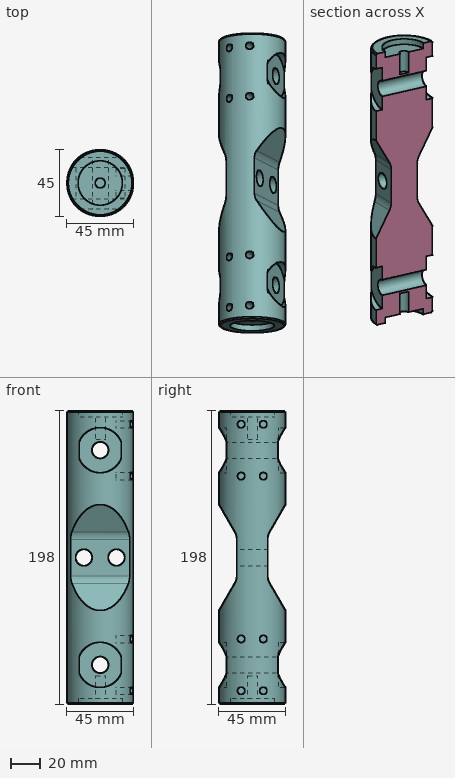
import cadquery as cq
import math

bar_diameter = 45.0
bar_length = 198.0
end_chamfer = 1.0
bar_radius = bar_diameter / 2
half_length = bar_length / 2

waist_thickness = 21.0
waist_corner_height = 15.0
waist_slope = 30.0
waist_blend_radius = 10.0

bolt_hole_diameter = 11.0
waist_hole_spacing = 22.0
end_hole_spacing = 145.0

spot_face_diameter = 30.5
spot_face_distance = 35.0

side_hole_diameter = 4.92
side_hole_spacing_y = 15.0
side_hole_spacing_z = 35.0
side_hole_depth = 12.0

recess_diameter = 30.0
recess_depth = 4.0
end_hole_diameter = 6.65
end_hole_depth = 15.0

end_hole_heights = (-end_hole_spacing / 2, end_hole_spacing / 2)
waist_hole_offsets = (-waist_hole_spacing / 2, waist_hole_spacing / 2)


def make_bar():
    bar = cq.Workplane("XY").circle(bar_radius).extrude(bar_length)
    return bar.translate((0, 0, -half_length)).faces("|Z").edges().chamfer(end_chamfer)


def waist_cutter(side):
    """Trapezoidal prism across the bar, with its inner corners rounded."""
    inner = waist_thickness / 2
    outer = bar_diameter
    outer_height = waist_corner_height + (outer - inner) / math.tan(math.radians(waist_slope))
    profile = [
        (side * inner, -waist_corner_height),
        (side * inner, waist_corner_height),
        (side * outer, outer_height),
        (side * outer, -outer_height),
    ]
    prism = cq.Workplane("YZ").polyline(profile).close().extrude(bar_radius, both=True)
    inner_face = "<Y" if side > 0 else ">Y"
    return prism.faces(inner_face).edges("|X").fillet(waist_blend_radius)


def y_cylinder(diameter, start_y, end_y, x, z):
    disc = cq.Workplane("XZ", origin=(x, start_y, z)).circle(diameter / 2)
    return disc.extrude(start_y - end_y)


def through_hole(x, z):
    return y_cylinder(bolt_hole_diameter, -bar_diameter, bar_diameter, x, z)


def spot_face(side, z):
    seat = side * spot_face_distance / 2
    return y_cylinder(spot_face_diameter, seat, side * bar_diameter, 0, z)


def side_holes(centre_z):
    plane = cq.Workplane("YZ", origin=(bar_radius, 0, centre_z))
    centres = plane.rect(side_hole_spacing_y, side_hole_spacing_z, forConstruction=True).vertices()
    return centres.circle(side_hole_diameter / 2).extrude(-side_hole_depth)


def end_cutter(end):
    """Recess with a blind hole in its floor, for the upper (1) or lower (-1) end."""
    recess = cq.Workplane("XY", origin=(0, 0, end * half_length))
    recess = recess.circle(recess_diameter / 2).extrude(-end * recess_depth)
    hole = cq.Workplane("XY", origin=(0, 0, end * (half_length - recess_depth)))
    return recess.union(hole.circle(end_hole_diameter / 2).extrude(-end * end_hole_depth))


result = make_bar()

for side in (-1, 1):
    result = result.cut(waist_cutter(side))
    for height in end_hole_heights:
        result = result.cut(spot_face(side, height))

for offset in waist_hole_offsets:
    result = result.cut(through_hole(offset, 0))

for height in end_hole_heights:
    result = result.cut(through_hole(0, height))
    result = result.cut(side_holes(height))

for end in (-1, 1):
    result = result.cut(end_cutter(end))